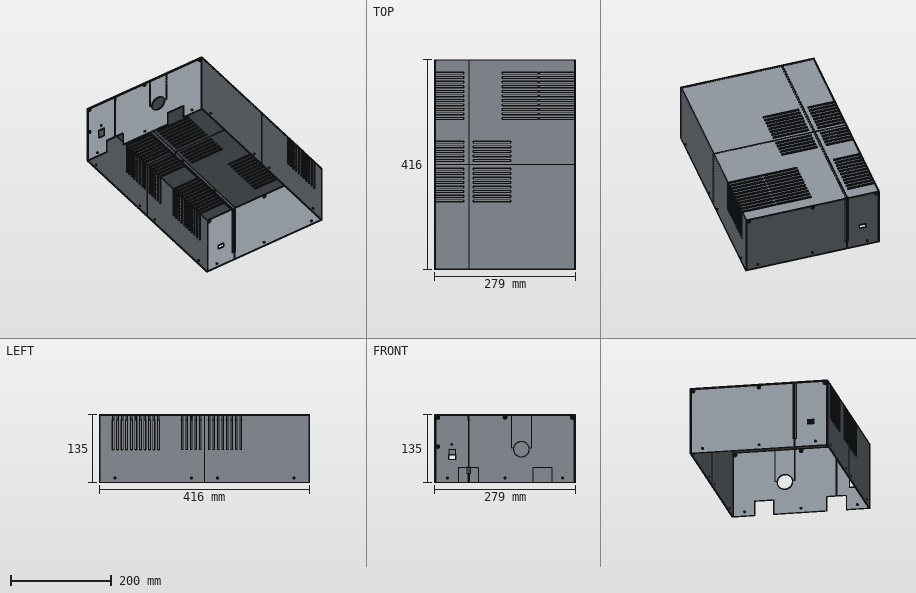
import cadquery as cq

WIDTH = 279.0
LENGTH = 416.0
HEIGHT = 135.0
SHEET = 2.0
SEAM_X = -72.0

HALF_WIDTH = WIDTH / 2
HALF_LENGTH = LENGTH / 2
CEILING = HEIGHT - SHEET

SCREW_INSET = 3 * SHEET
SCREW_DIAMETER = 3.15
COUNTERSINK_DIAMETER = 7.0
SCREW_X = HALF_WIDTH - SCREW_INSET
SCREW_Z = HEIGHT - SCREW_INSET
SIDE_SCREW_Z = 71.5

FLANGE_DEPTH = 11.0
FLANGE_HOLE_YS = (25.5, 136.0)
POST_WIDTH = 3.7
POST_BOTTOM = 18.0
FOOT_HOLE_Z = 9.0
SIDE_HOLE_YS = (26.0, 177.5)
SIDE_HOLE_DIAMETER = 3.2

SLOT_WIDTH = 3.0
SLOT_PITCH = 3 * SLOT_WIDTH
SLOT_SIDE_DEPTH = 70.0
LEFT_SLOT_TOP = 57.5
RIGHT_SLOT_TOP = 70.7
BACK_INNER_SLOT = (-5.5, 65.7)
MIDDLE_INNER_SLOT = (-63.0, 11.2)
BACK_START = 91.5
BACK_COUNT = 11
REAR_MIDDLE_START = 8.5
REAR_MIDDLE_COUNT = 5
FRONT_MIDDLE_START = -72.0
FRONT_MIDDLE_COUNT = 8

SIDE_CLEARANCE = 0.5
SEAM_CLEARANCE = 1.0
FOOT_HOLE_X = 114.5
FOOT_HOLE_DIAMETER = 3.3
NOTCH_TOP = 30.0
LEFT_NOTCH = (-92.5, -52.5)
LEFT_NOTCH_RADIUS = 2.5
RIGHT_NOTCH = (55.5, 93.5)
WINDOW_X = (-111.5, -98.0)
WINDOW_Z = (46.0, 65.5)
REAR_WINDOW_Z = (46.0, 55.0)
PILOT_X = -105.5
PILOT_Z = 75.7
PILOT_DIAMETER = 3.0

PORT_X = 32.5
PORT_Z = 66.0
PORT_DIAMETER = 30.8
INSERT_WIDTH = 40.0
INSERT_BOTTOM = 68.2

LEFT, RIGHT = -1, 1
FRONT, REAR = -1, 1


def box(x_range, y_range, z_range):
    """Axis-aligned block between the given limits, in either order."""
    limits = [sorted(r) for r in (x_range, y_range, z_range)]
    size = [high - low for low, high in limits]
    corner = tuple(low for low, _ in limits)
    return cq.Workplane("XY").box(*size, centered=False).translate(corner)


def rod_x(y, z, diameter, x_range):
    """Cylinder along X, used to drill side walls and seam flanges."""
    low, high = sorted(x_range)
    return cq.Workplane("YZ", origin=(low, y, z)).circle(diameter / 2).extrude(high - low)


def rod_y(x, z, diameter, y_range):
    """Cylinder along Y, used to drill end panels."""
    low, high = sorted(y_range)
    return cq.Workplane("XZ", origin=(x, high, z)).circle(diameter / 2).extrude(high - low)


def panel_span(end):
    """Y limits of the end panel at the front or rear."""
    return (end * (HALF_LENGTH - SHEET), end * HALF_LENGTH)


def slot_row(start, count):
    """Y positions of equally spaced slots."""
    return [start + i * SLOT_PITCH for i in range(count)]


def slot(x_range, y, bottom):
    """Cutter for one slot, open at the top."""
    return box(x_range, (y - SLOT_WIDTH / 2, y + SLOT_WIDTH / 2), (bottom, HEIGHT))


def bent_sheet(side, end):
    """Side wall and top with a rounded bend, and a flange hanging at the lengthwise seam."""
    wall_x = side * HALF_WIDTH
    y_range = (0, end * HALF_LENGTH)
    blank = box((wall_x, SEAM_X), y_range, (0, HEIGHT))
    outer_bend = "<X" if side == LEFT else ">X"
    blank = blank.edges("|Y").edges(">Z").edges(outer_bend).fillet(SHEET)

    flange_x = SEAM_X + side * SHEET
    cavity = box((wall_x - side * SHEET, flange_x), y_range, (0, CEILING))
    below_flange = box((SEAM_X, flange_x), y_range, (0, HEIGHT - FLANGE_DEPTH))
    panel_relief = box((SEAM_X, flange_x), panel_span(end), (0, CEILING))
    return blank.cut(cavity).cut(below_flange).cut(panel_relief)


def seam_post(side):
    """Upright beside the seam, just behind the rear panels."""
    post_y = (HALF_LENGTH - 2 * SHEET, HALF_LENGTH - SHEET)
    return box((SEAM_X, SEAM_X + side * POST_WIDTH), post_y, (POST_BOTTOM, CEILING))


def cut_slots(body, side, end):
    """Ventilation slots: some wrap around the bend, others lie in the top only."""
    if end == REAR:
        back = slot_row(BACK_START, BACK_COUNT)
        middle = slot_row(REAR_MIDDLE_START, REAR_MIDDLE_COUNT)
    else:
        back = []
        middle = slot_row(FRONT_MIDDLE_START, FRONT_MIDDLE_COUNT)

    slot_floor = HEIGHT - SLOT_SIDE_DEPTH
    if side == LEFT:
        for y in back + middle:
            body = body.cut(slot((-HALF_WIDTH, -HALF_WIDTH + LEFT_SLOT_TOP), y, slot_floor))
        return body
    for y in back:
        body = body.cut(slot((HALF_WIDTH - RIGHT_SLOT_TOP, HALF_WIDTH), y, slot_floor))
        body = body.cut(slot(BACK_INNER_SLOT, y, CEILING))
    for y in middle:
        body = body.cut(slot(MIDDLE_INNER_SLOT, y, CEILING))
    return body


def shell(side, end):
    """One quarter of the cover."""
    body = cut_slots(bent_sheet(side, end), side, end)
    wall = (side * HALF_WIDTH, side * (HALF_WIDTH - SHEET))
    for y in SIDE_HOLE_YS:
        body = body.cut(rod_x(end * y, FOOT_HOLE_Z, SIDE_HOLE_DIAMETER, wall))
    if end == REAR:
        flange = (SEAM_X, SEAM_X + side * SHEET)
        for y in FLANGE_HOLE_YS:
            body = body.cut(rod_x(y, SCREW_Z, SCREW_DIAMETER, flange))
        body = body.union(seam_post(side))
    return body


def countersink(x, z, end):
    """Conical screw hole that narrows inward through a whole end panel."""
    cone = cq.Solid.makeCone(
        COUNTERSINK_DIAMETER / 2,
        SCREW_DIAMETER / 2,
        SHEET,
        pnt=cq.Vector(x, end * HALF_LENGTH, z),
        dir=cq.Vector(0, -end, 0),
    )
    return cq.Workplane(cone)


def panel(side, end):
    """Flat end panel with its screw holes and foot holes."""
    if side == LEFT:
        screws = [(-SCREW_X, SCREW_Z)]
        if end == FRONT:
            screws.append((-SCREW_X, SIDE_SCREW_Z))
        foot_xs = [-FOOT_HOLE_X]
    else:
        screws = [(SCREW_X, SCREW_Z), (0, SCREW_Z)]
        foot_xs = [0, FOOT_HOLE_X]

    outer_x = side * (HALF_WIDTH - SHEET - SIDE_CLEARANCE)
    body = box((outer_x, SEAM_X + side * SEAM_CLEARANCE), panel_span(end), (0, CEILING))
    for x, z in screws:
        body = body.cut(countersink(x, z, end))
    for x in foot_xs:
        body = body.cut(rod_y(x, FOOT_HOLE_Z, FOOT_HOLE_DIAMETER, panel_span(end)))
    return body


def left_notch():
    """Cutter for the round-cornered notch that spans the seam."""
    notch = box(LEFT_NOTCH, panel_span(FRONT), (0, NOTCH_TOP))
    return notch.edges("|Y").edges(">Z").fillet(LEFT_NOTCH_RADIUS)


def port():
    """Cutter for the round port shared by the front panel and its insert."""
    return rod_y(PORT_X, PORT_Z, PORT_DIAMETER, panel_span(FRONT))


def insert_blank():
    """Plate that fills the slot above the port."""
    x_range = (PORT_X - INSERT_WIDTH / 2, PORT_X + INSERT_WIDTH / 2)
    return box(x_range, panel_span(FRONT), (INSERT_BOTTOM, CEILING))


def front_left_panel():
    window = box(WINDOW_X, panel_span(FRONT), WINDOW_Z)
    pilot = rod_y(PILOT_X, PILOT_Z, PILOT_DIAMETER, panel_span(FRONT))
    return panel(LEFT, FRONT).cut(left_notch()).cut(window).cut(pilot)


def front_right_panel():
    right_notch = box(RIGHT_NOTCH, panel_span(FRONT), (0, NOTCH_TOP))
    body = panel(RIGHT, FRONT).cut(left_notch()).cut(right_notch)
    return body.cut(insert_blank()).cut(port())


def rear_left_panel():
    return panel(LEFT, REAR).cut(box(WINDOW_X, panel_span(REAR), REAR_WINDOW_Z))


def rear_right_panel():
    return panel(RIGHT, REAR)


def port_insert():
    return insert_blank().cut(port())


shells = [shell(side, end) for side in (LEFT, RIGHT) for end in (FRONT, REAR)]
panels = [front_left_panel(), front_right_panel(), rear_left_panel(), rear_right_panel()]
bodies = shells + panels + [port_insert()]
result = cq.Compound.makeCompound([body.solids().val() for body in bodies])